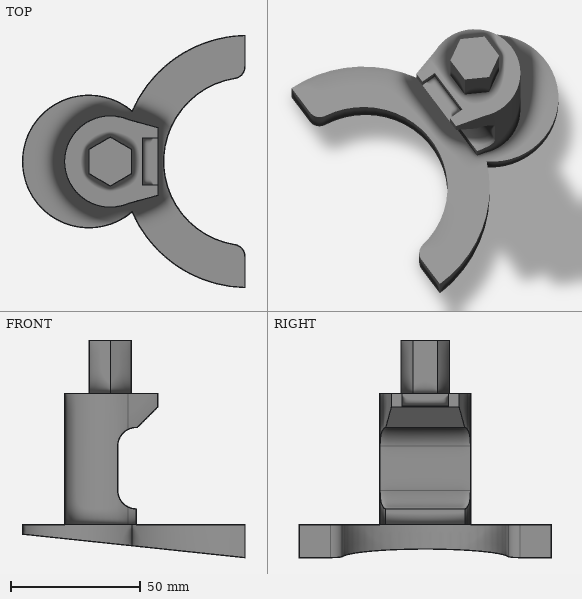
import cadquery as cq
import math


disc_radius = 25.7
disc_x = -8.3
fork_half_span = 48.8
fork_inner_radius = 32.5
fork_x = 53.2
fork_end_x = 52.1
fork_outer_radius = math.hypot(fork_half_span, fork_x - fork_end_x)
fork_tip_fillet = 4.7
base_left_x = disc_x - disc_radius
base_thin = 3.7
base_thick = 12.8

post_radius = 17.7
post_height = 50.9
nose_start_x = 6.9
nose_tip_x = 18.5
nose_tip_half_width = 13.1
nose_tip_height = 5.3

recess_x = 2.9
recess_bottom = 6.2
recess_top = 37.6
recess_radius = 7.1
lip_x = recess_x + recess_radius
nose_underside_x = nose_tip_x - (post_height - nose_tip_height - recess_top)

notch_x = 12.5
notch_width = 18.2
notch_depth = 4.9

hex_across_flats = 16.4
hex_height = 20.5


def make_base():
    disc = cq.Workplane("XY").center(disc_x, 0).circle(disc_radius).extrude(-base_thick)
    fork = (
        cq.Workplane("XY")
        .center(fork_x, 0)
        .circle(fork_outer_radius)
        .extrude(-base_thick)
    )
    opening = (
        cq.Workplane("XY")
        .center(fork_x, 0)
        .circle(fork_inner_radius)
        .extrude(-base_thick)
    )
    kept_half = (
        cq.Workplane("XY")
        .box(2 * fork_outer_radius, 2 * fork_outer_radius, base_thick, centered=(True, True, False))
        .translate((fork_end_x - fork_outer_radius, 0, -base_thick))
    )
    fork = fork.intersect(kept_half).cut(opening)
    inner_corner_y = math.sqrt(fork_inner_radius**2 - (fork_x - fork_end_x) ** 2)
    for side in (-1, 1):
        corner = cq.selectors.NearestToPointSelector((fork_end_x, side * inner_corner_y, -base_thick / 2))
        fork = fork.edges("|Z").edges(corner).fillet(fork_tip_fillet)
    wedge = (
        cq.Workplane("XZ")
        .polyline([(base_left_x, 0), (fork_end_x, 0), (fork_end_x, -base_thick), (base_left_x, -base_thin)])
        .close()
        .extrude(fork_outer_radius, both=True)
    )
    return disc.union(fork).intersect(wedge)


def make_post():
    nose_start_y = math.sqrt(post_radius**2 - nose_start_x**2)
    return (
        cq.Workplane("XY")
        .moveTo(nose_start_x, nose_start_y)
        .threePointArc((-post_radius, 0), (nose_start_x, -nose_start_y))
        .lineTo(nose_tip_x, -nose_tip_half_width)
        .lineTo(nose_tip_x, nose_tip_half_width)
        .close()
        .extrude(post_height)
    )


def make_side_recess():
    return (
        cq.Workplane("XZ")
        .moveTo(lip_x, 0)
        .lineTo(lip_x, recess_bottom)
        .radiusArc((recess_x, recess_bottom + recess_radius), recess_radius)
        .lineTo(recess_x, recess_top - recess_radius)
        .radiusArc((lip_x, recess_top), recess_radius)
        .lineTo(nose_underside_x, recess_top)
        .lineTo(nose_tip_x, post_height - nose_tip_height)
        .lineTo(nose_tip_x, 0)
        .close()
        .extrude(post_radius, both=True)
    )


def make_notch():
    return (
        cq.Workplane("XY")
        .box(nose_tip_x - notch_x, notch_width, notch_depth, centered=(False, True, False))
        .translate((notch_x, 0, post_height - notch_depth))
    )


def make_hex():
    corner_diameter = hex_across_flats / math.cos(math.radians(30))
    return (
        cq.Workplane("XY")
        .workplane(offset=post_height)
        .transformed(rotate=(0, 0, 30))
        .polygon(6, corner_diameter)
        .extrude(hex_height)
    )


post = make_post().cut(make_side_recess()).cut(make_notch())
result = make_base().union(post).union(make_hex())